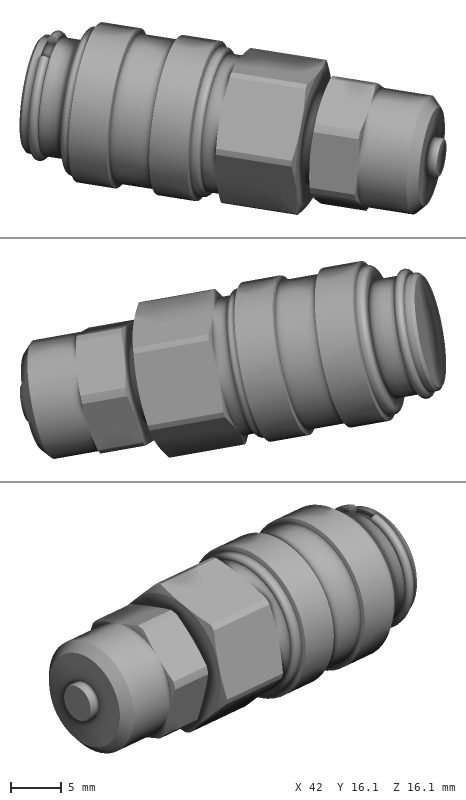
import cadquery as cq
import math


PLUG_DIA = 12.0
PLUG_FACE_DIA = 11.4
PLUG_CHAMFER_LENGTH = 0.3

WIRE_DIA = 1.0
GROOVE_START = 1.0
GROOVE_WIDTH = 1.05
GROOVE_DIA = 11.15
RING_GAP_ANGLE = 29.5
RING_GAP_CENTRE = -3.0

SLEEVE_START = 4.6
SLEEVE_END = 19.05
SLEEVE_DIA = 15.1
SLEEVE_FRONT_FILLET = 0.55
SLEEVE_BACK_FILLET = 0.45
BAND_STARTS = (5.6, 13.9)
BAND_WIDTH = 4.2
BAND_DIA = 16.15
BAND_FLANK_LENGTH = 0.13

COLLAR_DIA = 14.0
BODY_HEX_START = 20.55
BODY_HEX_END = 28.85
BODY_HEX_FLATS = 14.0
BODY_HEX_CORNER_DIA = 15.8
BODY_HEX_BEVEL = 0.25
BODY_HEX_TURN = 15.0

NECK_DIA = 8.4
NECK_FILLET = 0.65

NUT_HEX_START = 30.0
NUT_HEX_END = 35.0
NUT_HEX_FLATS = 12.0
NUT_HEX_CORNER_DIA = 13.4
NUT_HEX_BEVEL = 0.15
NUT_HEX_TURN = -15.0
NUT_ROUND_DIA = NUT_HEX_FLATS
NUT_CHAMFER_START = 40.03
NUT_END = 41.0
NUT_FACE_DIA = 10.0

OVERALL_LENGTH = 42.0
STUB_DIA = 4.0
STUB_CHAMFER_LENGTH = 0.2
STUB_CHAMFER_DEPTH = 0.13


def cylinder(start, end, diameter):
    """Round bar on the X axis."""
    return cq.Workplane("YZ", origin=(start, 0, 0)).circle(diameter / 2).extrude(end - start)


def revolved(profile):
    """Solid of revolution about the X axis from (x, radius) points."""
    return cq.Workplane("XY").polyline(profile).close().revolve(360, (0, 0, 0), (1, 0, 0))


def hexagon(start, end, flats, corner_dia, bevel, turn):
    """Hexagonal prism with turned corners and bevelled ends; turn 0 puts a corner on -Y."""
    prism = (
        cq.Workplane("YZ", origin=(start, 0, 0))
        .polygon(6, flats / math.cos(math.radians(30)))
        .extrude(end - start)
        .rotate((0, 0, 0), (1, 0, 0), -turn)
    )
    envelope = revolved([
        (start, 0),
        (start, flats / 2),
        (start + bevel, corner_dia / 2),
        (end - bevel, corner_dia / 2),
        (end, flats / 2),
        (end, 0),
    ])
    return prism.intersect(envelope)


def make_plug():
    """Plug end with a chamfered face and the retaining ring groove."""
    plug = revolved([
        (0, 0),
        (0, PLUG_FACE_DIA / 2),
        (PLUG_CHAMFER_LENGTH, PLUG_DIA / 2),
        (SLEEVE_START, PLUG_DIA / 2),
        (SLEEVE_START, 0),
    ])
    groove_end = GROOVE_START + GROOVE_WIDTH
    groove = cylinder(GROOVE_START, groove_end, PLUG_DIA).cut(
        cylinder(GROOVE_START, groove_end, GROOVE_DIA)
    )
    return plug.cut(groove)


def make_band(start):
    """Raised grip band with steep conical flanks that end on the sleeve surface."""
    end = start + BAND_WIDTH
    return revolved([
        (start, 0),
        (start, SLEEVE_DIA / 2),
        (start + BAND_FLANK_LENGTH, BAND_DIA / 2),
        (end - BAND_FLANK_LENGTH, BAND_DIA / 2),
        (end, SLEEVE_DIA / 2),
        (end, 0),
    ])


def make_sleeve():
    """Rounded sleeve carrying the grip bands."""
    sleeve = (
        cylinder(SLEEVE_START, SLEEVE_END, SLEEVE_DIA)
        .faces("<X").edges().fillet(SLEEVE_FRONT_FILLET)
        .faces(">X").edges().fillet(SLEEVE_BACK_FILLET)
    )
    for start in BAND_STARTS:
        sleeve = sleeve.union(make_band(start))
    return sleeve


def make_neck():
    """Neck that flares with a concave fillet into the body hexagon."""
    neck_radius = NECK_DIA / 2
    flare_end = BODY_HEX_END + NECK_FILLET
    sag = NECK_FILLET * (1 - math.sqrt(0.5))
    return (
        cq.Workplane("XY")
        .moveTo(BODY_HEX_END, 0)
        .lineTo(BODY_HEX_END, neck_radius + NECK_FILLET)
        .threePointArc((BODY_HEX_END + sag, neck_radius + sag), (flare_end, neck_radius))
        .lineTo(NUT_HEX_START, neck_radius)
        .lineTo(NUT_HEX_START, 0)
        .close()
        .revolve(360, (0, 0, 0), (1, 0, 0))
    )


def make_hose_end():
    """Round part of the hose nut and the stub that sticks out of it."""
    return revolved([
        (NUT_HEX_END, 0),
        (NUT_HEX_END, NUT_ROUND_DIA / 2),
        (NUT_CHAMFER_START, NUT_ROUND_DIA / 2),
        (NUT_END, NUT_FACE_DIA / 2),
        (NUT_END, STUB_DIA / 2),
        (OVERALL_LENGTH - STUB_CHAMFER_LENGTH, STUB_DIA / 2),
        (OVERALL_LENGTH, STUB_DIA / 2 - STUB_CHAMFER_DEPTH),
        (OVERALL_LENGTH, 0),
    ])


def make_coupling():
    """Complete coupling, from the plug end to the hose stub."""
    body_hex = hexagon(
        BODY_HEX_START, BODY_HEX_END, BODY_HEX_FLATS, BODY_HEX_CORNER_DIA, BODY_HEX_BEVEL, BODY_HEX_TURN
    )
    nut_hex = hexagon(
        NUT_HEX_START, NUT_HEX_END, NUT_HEX_FLATS, NUT_HEX_CORNER_DIA, NUT_HEX_BEVEL, NUT_HEX_TURN
    )
    return (
        make_plug()
        .union(make_sleeve())
        .union(cylinder(SLEEVE_END, BODY_HEX_START, COLLAR_DIA))
        .union(body_hex)
        .union(make_neck())
        .union(nut_hex)
        .union(make_hose_end())
    )


def make_retaining_ring():
    """Open ring of round wire that rests on the groove floor and front wall."""
    wire_radius = WIRE_DIA / 2
    ring_radius = GROOVE_DIA / 2 + wire_radius
    ring = (
        cq.Workplane("XY")
        .center(GROOVE_START + wire_radius, ring_radius)
        .circle(wire_radius)
        .revolve(360 - RING_GAP_ANGLE, (0, -ring_radius, 0), (1, -ring_radius, 0))
    )
    first_end = 90 - RING_GAP_CENTRE + RING_GAP_ANGLE / 2
    return ring.rotate((0, 0, 0), (1, 0, 0), first_end)


coupling = make_coupling()
retaining_ring = make_retaining_ring()

result = cq.Compound.makeCompound([coupling.val(), retaining_ring.val()])